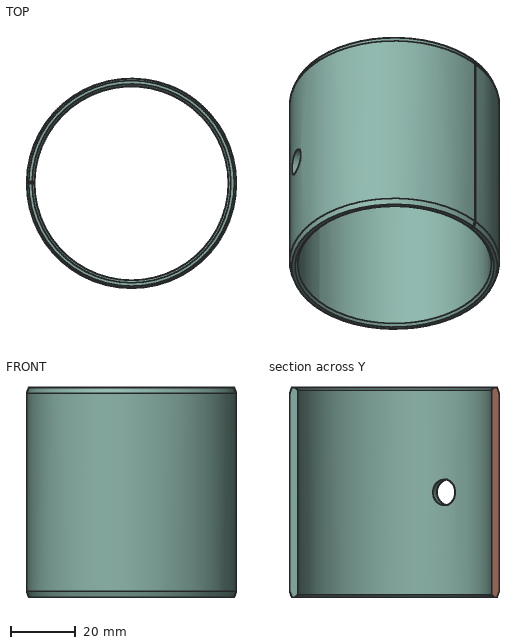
import cadquery as cq
import math

outer_diameter = 65.0
bore_diameter = 60.0
length = 65.0

outer_chamfer_length = 1.8
outer_chamfer_angle = 20.0
bore_chamfer = 0.8

joint_width = 0.5

oil_hole_diameter = 8.0
oil_hole_angle = 59.0

outer_radius = outer_diameter / 2
bore_radius = bore_diameter / 2
half_length = length / 2
outer_chamfer_depth = outer_chamfer_length * math.tan(math.radians(outer_chamfer_angle))


def make_sleeve():
    """Revolve the chamfered wall section about Z."""
    upper_half = [
        (outer_radius, half_length - outer_chamfer_length),
        (outer_radius - outer_chamfer_depth, half_length),
        (bore_radius + bore_chamfer, half_length),
        (bore_radius, half_length - bore_chamfer),
    ]
    lower_half = [(radius, -height) for radius, height in reversed(upper_half)]
    section = cq.Workplane("XZ").polyline(upper_half + lower_half).close()
    return section.revolve(360, (0, 0), (0, 1))


def make_joint():
    """Thin slab that splits the wall on the -X side, with one face on the XZ plane."""
    slab = cq.Workplane("XY").box(outer_radius, joint_width, length)
    return slab.translate((-outer_radius, joint_width / 2, 0))


def make_oil_hole():
    """Radial cylinder reaching from the axis past the outer surface."""
    hole = cq.Workplane("YZ").circle(oil_hole_diameter / 2).extrude(outer_diameter)
    return hole.rotate((0, 0, 0), (0, 0, 1), oil_hole_angle)


result = make_sleeve().cut(make_joint()).cut(make_oil_hole())